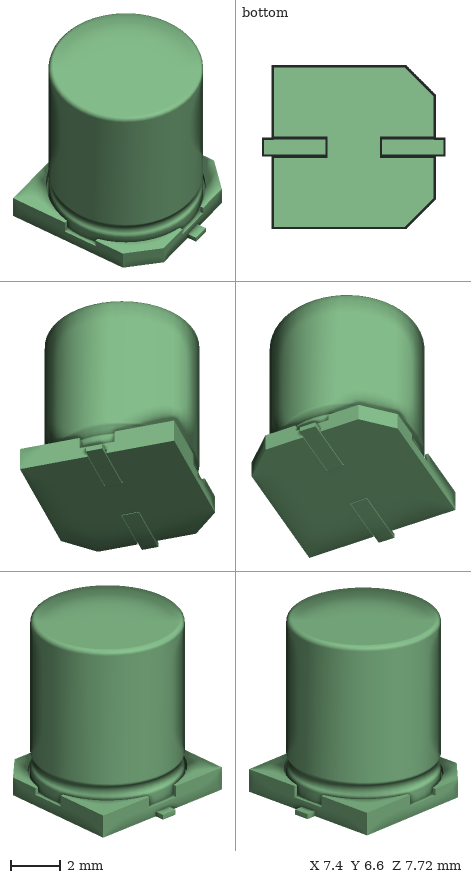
import cadquery as cq
import math


total_height = 7.72
base_clearance = 0.02

base_width = 6.6
base_high_height = 1.0
base_low_height = 0.8
corner_chamfer = 1.2
pocket_radius = 3.25
pocket_floor_height = 0.5
notch_width = 1.5

can_radius = 3.15
top_fillet = 0.2
groove_center_z = 1.36
groove_depth = 0.15
groove_radius = 0.3
groove_lip_radius = 0.2

lead_span = 7.4
lead_length = 2.6
lead_width = 0.7
lead_top_z = 0.22
lead_slot_width = 0.8

base_half = base_width / 2
base_bottom_z = base_clearance
pocket_floor_z = base_bottom_z + pocket_floor_height
lead_inner_x = lead_span / 2 - lead_length


def box(x_start, x_end, width_y, z_start, z_end):
    """Box between two X and two Z positions, centered on Y = 0."""
    return (
        cq.Workplane("XY", origin=((x_start + x_end) / 2, 0, z_start))
        .rect(x_end - x_start, width_y)
        .extrude(z_end - z_start)
    )


def both_ends(shape):
    """The shape together with its mirror image across the YZ plane."""
    return shape.union(shape.mirror("YZ"))


def make_base():
    """Stepped square base with a round pocket, side notches and lead slots."""
    base_top_z = base_bottom_z + base_high_height
    low_top_z = base_bottom_z + base_low_height
    base = box(-base_half, base_half, base_width, base_bottom_z, base_top_z)
    base = base.edges("|Z and >X").chamfer(corner_chamfer)

    base = base.cut(box(0, base_half, base_width, low_top_z, base_top_z))

    pocket = (
        cq.Workplane("XY", origin=(0, 0, pocket_floor_z))
        .circle(pocket_radius)
        .extrude(base_top_z - pocket_floor_z)
    )
    notch = box(-base_half, base_half, notch_width, pocket_floor_z, base_top_z)
    crossing_notch = notch.rotate((0, 0, 0), (0, 0, 1), 90)
    base = base.cut(pocket).cut(notch).cut(crossing_notch)

    slot = box(lead_inner_x, base_half, lead_slot_width, base_bottom_z, lead_top_z)
    return base.cut(both_ends(slot))


def make_can():
    """Revolved can with a rounded top edge and a smooth waist groove."""
    arc_angle = math.acos(1 - groove_depth / (groove_radius + groove_lip_radius))
    waist_half_height = groove_radius * math.sin(arc_angle)
    groove_half_height = (groove_radius + groove_lip_radius) * math.sin(arc_angle)
    lip_inset = groove_lip_radius * (1 - math.cos(arc_angle))
    lip_mid_inset = groove_lip_radius * (1 - math.cos(arc_angle / 2))
    lip_mid_height = groove_half_height - groove_lip_radius * math.sin(arc_angle / 2)

    lip_radius = can_radius - lip_inset
    lip_mid_radius = can_radius - lip_mid_inset
    waist_radius = can_radius - groove_depth

    profile = (
        cq.Workplane("XZ")
        .moveTo(0, pocket_floor_z)
        .lineTo(can_radius, pocket_floor_z)
        .lineTo(can_radius, groove_center_z - groove_half_height)
        .threePointArc(
            (lip_mid_radius, groove_center_z - lip_mid_height),
            (lip_radius, groove_center_z - waist_half_height),
        )
        .threePointArc(
            (waist_radius, groove_center_z),
            (lip_radius, groove_center_z + waist_half_height),
        )
        .threePointArc(
            (lip_mid_radius, groove_center_z + lip_mid_height),
            (can_radius, groove_center_z + groove_half_height),
        )
        .lineTo(can_radius, total_height)
        .lineTo(0, total_height)
        .close()
    )
    can = profile.revolve(360, (0, 0, 0), (0, 1, 0))
    return can.faces(">Z").edges().fillet(top_fillet)


def make_leads():
    """Two flat leads running out of the base along X."""
    lead = box(lead_inner_x, lead_span / 2, lead_width, 0, lead_top_z)
    return both_ends(lead)


result = make_base().union(make_can()).union(make_leads())